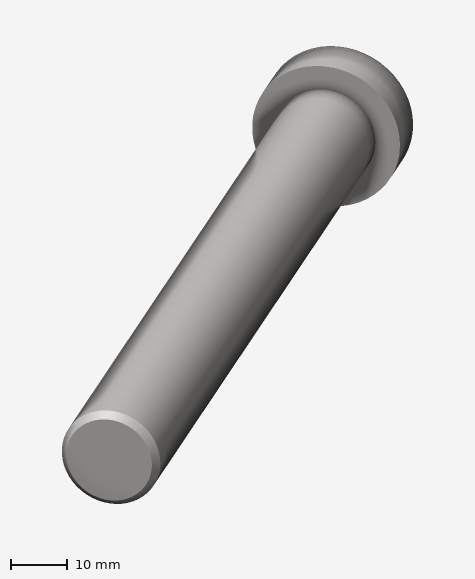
import cadquery as cq

total_length = 150.0
head_diameter = 27.0
head_length = 10.0
shank_diameter = 18.0
head_fillet = 1.8
tip_chamfer = 1.2

shank_length = total_length - head_length


def cylinder_along_y(diameter, start, length):
    """Cylinder centred on the Y axis, growing toward +Y from start."""
    return cq.Workplane("XZ", origin=(0, start, 0)).circle(diameter / 2).extrude(-length)


tip_position = -total_length / 2
shank = cylinder_along_y(shank_diameter, tip_position, shank_length)
shank = shank.faces("<Y").edges().chamfer(tip_chamfer)

head = cylinder_along_y(head_diameter, tip_position + shank_length, head_length)
head = head.faces(">Y").edges().fillet(head_fillet)

result = shank.union(head)